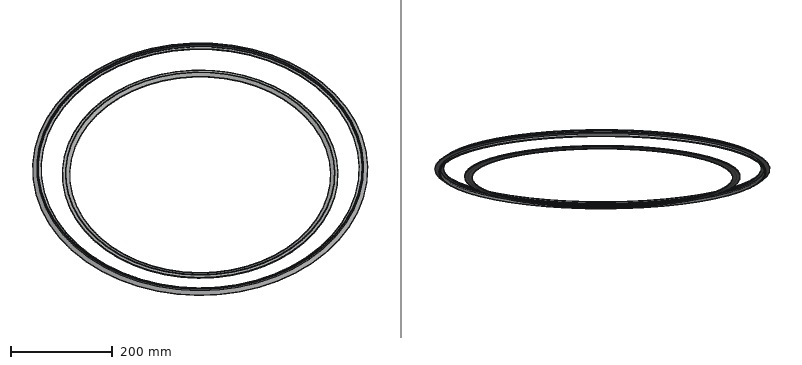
import cadquery as cq


outer_flange_bore_radius = 623.28 / 2
outer_body_bore_radius = 635.28 / 2
outer_crest_width = 1.5
outer_crest_radius = outer_body_bore_radius + outer_crest_width
outer_shoulder_radius = 320.65
outer_shoulder_z = -2.6

outer_flange_top_z = -4.5
outer_flange_thickness = 2.0
outer_flange_bottom_z = outer_flange_top_z - outer_flange_thickness

lip_radius = 657.61 / 2
lip_top_z = -6.78
lip_bottom_z = -7.7
lip_edge_setback = 0.2

skirt_root_radius = 639.28 / 2
skirt_root_z = -8.65
skirt_tip_radius = 321.2
skirt_tip_z = -12.95
skirt_bottom_radius = 320.3
skirt_bottom_z = -14.0
skirt_thickness = 2.0

inner_flange_radius = 540.68 / 2
upstand_outer_radius = 528.68 / 2
upstand_inner_radius = 526.68 / 2
upstand_top_z = -20.05

inner_flange_top_z = -20.75
inner_flange_thickness = 2.5
inner_flange_bottom_z = inner_flange_top_z - inner_flange_thickness

inner_lip_radius = 255.62
inner_lip_top_z = -23.2
inner_lip_bottom_z = -24.72


def revolved_ring(section):
    """Sweep a closed (radius, height) section a full turn around Z."""
    return cq.Workplane("XZ").polyline(section).close().revolve(360, (0, 0, 0), (0, 1, 0))


def make_outer_ring():
    crest = [
        (outer_body_bore_radius, 0),
        (outer_crest_radius, 0),
        (outer_shoulder_radius, outer_shoulder_z),
    ]
    lip = [
        (lip_radius, lip_top_z),
        (lip_radius - lip_edge_setback, lip_bottom_z),
    ]
    skirt = [
        (skirt_root_radius, skirt_root_z),
        (skirt_tip_radius, skirt_tip_z),
        (skirt_bottom_radius, skirt_bottom_z),
        (skirt_bottom_radius - skirt_thickness, skirt_bottom_z),
        (outer_body_bore_radius, skirt_root_z),
    ]
    flange = [
        (outer_body_bore_radius, outer_flange_bottom_z),
        (outer_flange_bore_radius, outer_flange_bottom_z),
        (outer_flange_bore_radius, outer_flange_top_z),
        (outer_body_bore_radius, outer_flange_top_z),
    ]
    return revolved_ring(crest + lip + skirt + flange)


def make_inner_ring():
    flange = [
        (upstand_inner_radius, inner_flange_bottom_z),
        (inner_flange_radius, inner_flange_bottom_z),
        (inner_flange_radius, inner_flange_top_z),
    ]
    upstand = [
        (upstand_outer_radius, inner_flange_top_z),
        (upstand_outer_radius, upstand_top_z),
        (upstand_inner_radius, upstand_top_z),
    ]
    lip = [
        (inner_lip_radius, inner_lip_top_z),
        (inner_lip_radius, inner_lip_bottom_z),
    ]
    return revolved_ring(flange + upstand + lip)


outer_ring = make_outer_ring()
inner_ring = make_inner_ring()

result = cq.Compound.makeCompound([outer_ring.val(), inner_ring.val()])